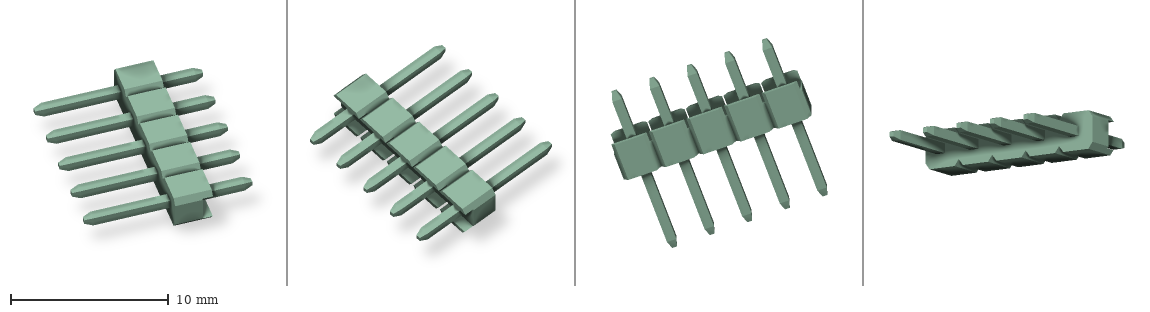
import cadquery as cq

PIN_COUNT = 5
HOUSING_LENGTH = 12.7
PITCH = HOUSING_LENGTH / PIN_COUNT
HOUSING_DEPTH = 2.54
HOUSING_HEIGHT = 2.5
CHAMFER_X = 0.32
CHAMFER_Z = 0.42

CHANNEL_HEIGHT = 1.83
CHANNEL_DEPTH = 0.7

PIN_LENGTH = 11.2
PIN_WIDTH = 0.64
PIN_FRONT_REACH = 5.66
TIP_LENGTH = 0.55
TIP_WIDTH = PIN_WIDTH / 2

PIN_OFFSET_X = -0.1
PIN_OFFSET_Z = -0.01
CHANNEL_OFFSET_Z = -0.03


def cell_centre(index):
    """X position of the middle of a cell, with the row centred on X = 0."""
    return (index - (PIN_COUNT - 1) / 2) * PITCH


def make_housing():
    """Extrude the row of octagonal cells, which leaves V grooves between them."""
    half_height = HOUSING_HEIGHT / 2
    half_flat = PITCH / 2 - CHAMFER_X
    half_side = half_height - CHAMFER_Z

    upper_edge = []
    lower_edge = []
    for index in range(PIN_COUNT):
        centre = cell_centre(index)
        corners = [
            (centre - PITCH / 2, half_side),
            (centre - half_flat, half_height),
            (centre + half_flat, half_height),
        ]
        upper_edge += corners
        lower_edge += [(x, -z) for x, z in corners]
    upper_edge.append((HOUSING_LENGTH / 2, half_side))
    lower_edge.append((HOUSING_LENGTH / 2, -half_side))

    outline = upper_edge + lower_edge[::-1]
    return cq.Workplane("XZ").polyline(outline).close().extrude(-HOUSING_DEPTH)


def make_channel():
    """Block that removes the back of the housing between its upper and lower walls."""
    return (
        cq.Workplane("XY")
        .box(HOUSING_LENGTH, CHANNEL_DEPTH, CHANNEL_HEIGHT)
        .translate((0, HOUSING_DEPTH - CHANNEL_DEPTH / 2, CHANNEL_OFFSET_Z))
    )


def make_pin():
    """Square pin centred on the Y axis, with a pyramidal taper at each end."""
    shank_length = PIN_LENGTH - 2 * TIP_LENGTH
    shank_middle = PIN_LENGTH / 2 - PIN_FRONT_REACH
    pin = cq.Workplane("XY").box(PIN_WIDTH, shank_length, PIN_WIDTH)
    for end in ("<Y", ">Y"):
        tip = (
            pin.faces(end)
            .workplane()
            .rect(PIN_WIDTH, PIN_WIDTH)
            .workplane(offset=TIP_LENGTH)
            .rect(TIP_WIDTH, TIP_WIDTH)
            .loft(combine=False)
        )
        pin = pin.union(tip)
    return pin.translate((0, shank_middle, 0))


result = make_housing().cut(make_channel())
pin = make_pin()
for index in range(PIN_COUNT):
    pin_x = cell_centre(index) + PIN_OFFSET_X
    result = result.union(pin.translate((pin_x, 0, PIN_OFFSET_Z)))